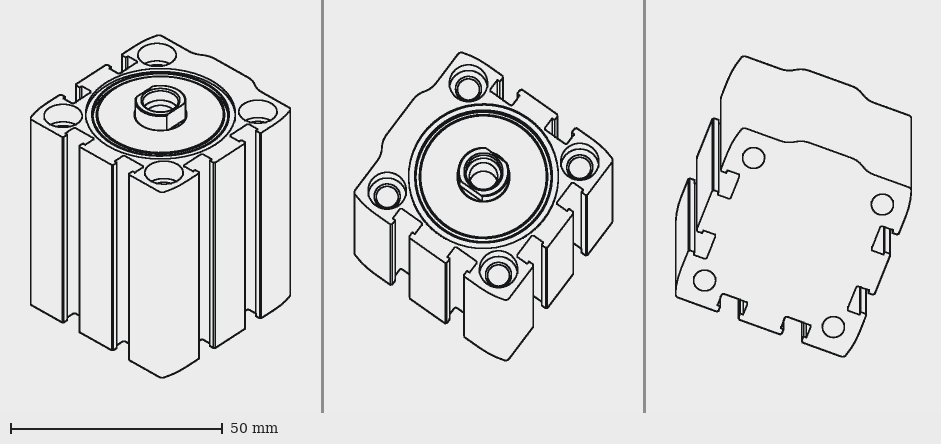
import cadquery as cq
import math

TOTAL_HEIGHT = 59.0
BODY_HEIGHT = 55.0
BODY_WIDTH = 45.0
BODY_LENGTH = 47.0
PAD_FLAT_WIDTH = 10.6
PAD_BASE_WIDTH = 23.6
SIDE_FLAT_LENGTH = 31.05
SIDE_BOW_RADIUS = 20.65
CORNER_RADIUS = 1.0

SLOT_SPACING = 16.0
SLOT_MOUTH_WIDTH = 5.0
SLOT_INNER_WIDTH = 6.5
SLOT_LIP = 1.55
SLOT_DEPTH = 4.7
SLOT_CORNER_RADIUS = 0.5
SLOT_MOUTH_RADIUS = 0.3

SCREW_SPACING = 32.55
SCREW_DIAMETER = 5.2
SCREW_CHAMFER = 0.5
COUNTERBORE_DIAMETER = 9.0
COUNTERBORE_DEPTH = 5.2

CAP_RECESS = 0.25
CAP_FACE_DIAMETER = 29.75
CAP_EDGE_DIAMETER = 30.3
CAP_EDGE_DROP = 0.1
INNER_GROOVE_DIAMETER = 32.0
INNER_FLOOR_ANGLE = 45.0
RING_DIAMETER = 32.5
OUTER_GROOVE_DIAMETER = 35.4
OUTER_FLOOR_ANGLE = 25.0

ROD_DIAMETER = 12.0
ROD_LENGTH = 29.5
ROD_TIP_CHAMFER = 0.25
ROD_BORE_CHAMFER = 0.25
FLATS_WIDTH = 10.05
FLATS_LENGTH = 4.8
RUN_OUT_ANGLE = 25.0

RELIEF_CHAMFER_DIAMETER = 9.2
RELIEF_DIAMETER = 8.4
RELIEF_DEPTH = 3.2
THREAD_DIAMETER = 6.65
THREAD_DEPTH = 11.8
DRILL_TIP_ANGLE = 118.0

HALF_WIDTH = BODY_WIDTH / 2
PAD_Y = BODY_LENGTH - HALF_WIDTH
CAP_FACE_Z = BODY_HEIGHT - CAP_RECESS
ROD_RADIUS = ROD_DIAMETER / 2
ROD_BOTTOM_Z = TOTAL_HEIGHT - ROD_LENGTH


def revolved(profile):
    """Solid of revolution about Z from a closed list of (radius, z) points."""
    return cq.Workplane("XZ").polyline(profile).close().revolve(360, (0, 0), (0, 1))


def body_block():
    """Extruded outline: bowed sides, rounded corners and a rear pad with S-shaped flanks."""
    half_flat = SIDE_FLAT_LENGTH / 2
    bow_angle = math.asin((HALF_WIDTH - half_flat) / SIDE_BOW_RADIUS)

    def bow_point(angle):
        x = HALF_WIDTH - SIDE_BOW_RADIUS * (1 - math.cos(angle))
        y = half_flat + SIDE_BOW_RADIUS * math.sin(angle)
        return x, y

    middle_x, middle_y = bow_point(bow_angle / 2)
    corner_x, corner_y = bow_point(bow_angle)
    flank_middle = ((PAD_FLAT_WIDTH + PAD_BASE_WIDTH) / 4, (HALF_WIDTH + PAD_Y) / 2)
    block = (
        cq.Workplane("XY")
        .moveTo(0, -corner_y)
        .lineTo(corner_x, -corner_y)
        .threePointArc((middle_x, -middle_y), (HALF_WIDTH, -half_flat))
        .lineTo(HALF_WIDTH, half_flat)
        .threePointArc((middle_x, middle_y), (corner_x, corner_y))
        .lineTo(PAD_BASE_WIDTH / 2, HALF_WIDTH)
        .tangentArcPoint(flank_middle, relative=False)
        .tangentArcPoint((PAD_FLAT_WIDTH / 2, PAD_Y), relative=False)
        .lineTo(0, PAD_Y)
        .mirrorY()
        .extrude(BODY_HEIGHT)
    )
    for x in (-corner_x, corner_x):
        for y in (-corner_y, corner_y):
            corner = cq.selectors.NearestToPointSelector((x, y, BODY_HEIGHT / 2))
            block = block.edges("|Z").edges(corner).fillet(CORNER_RADIUS)
    return block


def slot_cutters():
    """Full-height T-slots: a pair in the left, front and right faces."""
    lip_y = SLOT_LIP - HALF_WIDTH
    inner_length = SLOT_DEPTH - SLOT_LIP
    half_mouth = SLOT_MOUTH_WIDTH / 2
    round_start_y = SLOT_MOUTH_RADIUS - HALF_WIDTH
    mouth = (
        cq.Workplane("XY")
        .moveTo(0, -HALF_WIDTH)
        .lineTo(half_mouth + SLOT_MOUTH_RADIUS, -HALF_WIDTH)
        .radiusArc((half_mouth, round_start_y), -SLOT_MOUTH_RADIUS)
        .lineTo(half_mouth, lip_y)
        .lineTo(0, lip_y)
        .mirrorY()
        .extrude(BODY_HEIGHT)
    )
    inner = cq.Workplane("XY").box(SLOT_INNER_WIDTH, inner_length, BODY_HEIGHT, centered=(True, False, False))
    inner = inner.edges("|Z and >Y").fillet(SLOT_CORNER_RADIUS).translate((0, lip_y, 0))
    slot = mouth.union(inner)
    half_spacing = SLOT_SPACING / 2
    pair = slot.translate((-half_spacing, 0, 0)).union(slot.translate((half_spacing, 0, 0)))
    return [pair.rotate((0, 0, 0), (0, 0, 1), turn) for turn in (-90, 0, 90)]


def screw_hole_cutters():
    """Four counterbored through holes with a chamfer under each counterbore."""
    bore_radius = COUNTERBORE_DIAMETER / 2
    hole_radius = SCREW_DIAMETER / 2
    floor_z = BODY_HEIGHT - COUNTERBORE_DEPTH
    hole = revolved([
        (0, 0),
        (hole_radius, 0),
        (hole_radius, floor_z - SCREW_CHAMFER),
        (hole_radius + SCREW_CHAMFER, floor_z),
        (bore_radius, floor_z),
        (bore_radius, BODY_HEIGHT),
        (0, BODY_HEIGHT),
    ])
    half_spacing = SCREW_SPACING / 2
    signs = (-1, 1)
    return [hole.translate((i * half_spacing, j * half_spacing, 0)) for i in signs for j in signs]


def cap_cutter():
    """Shallow recess over the cap with two ring grooves whose floors fall outward."""
    face_radius = CAP_FACE_DIAMETER / 2
    edge_radius = CAP_EDGE_DIAMETER / 2
    inner_radius = INNER_GROOVE_DIAMETER / 2
    ring_radius = RING_DIAMETER / 2
    outer_radius = OUTER_GROOVE_DIAMETER / 2
    edge_z = CAP_FACE_Z - CAP_EDGE_DROP
    inner_floor_drop = (inner_radius - edge_radius) * math.tan(math.radians(INNER_FLOOR_ANGLE))
    outer_floor_drop = (outer_radius - ring_radius) * math.tan(math.radians(OUTER_FLOOR_ANGLE))
    return revolved([
        (0, BODY_HEIGHT),
        (0, CAP_FACE_Z),
        (face_radius, CAP_FACE_Z),
        (edge_radius, edge_z),
        (inner_radius, edge_z - inner_floor_drop),
        (inner_radius, CAP_FACE_Z),
        (ring_radius, CAP_FACE_Z),
        (outer_radius, CAP_FACE_Z - outer_floor_drop),
        (outer_radius, BODY_HEIGHT),
    ])


def rod_bore_cutter():
    """Blind bore that the rod fills, chamfered where it opens on the cap face."""
    mouth_radius = ROD_RADIUS + ROD_BORE_CHAMFER
    return revolved([
        (0, ROD_BOTTOM_Z),
        (ROD_RADIUS, ROD_BOTTOM_Z),
        (ROD_RADIUS, CAP_FACE_Z - ROD_BORE_CHAMFER),
        (mouth_radius, CAP_FACE_Z),
        (0, CAP_FACE_Z),
    ])


def make_housing():
    housing = body_block()
    cutters = [*slot_cutters(), *screw_hole_cutters(), cap_cutter(), rod_bore_cutter()]
    for cutter in cutters:
        housing = housing.cut(cutter)
    return housing


def flat_cutter():
    """Material outside the right wrench flat, ending in a sloped run-out."""
    flat_x = FLATS_WIDTH / 2
    flat_bottom_z = TOTAL_HEIGHT - FLATS_LENGTH
    run_out = (ROD_RADIUS - flat_x) * math.tan(math.radians(RUN_OUT_ANGLE))
    return (
        cq.Workplane("XZ")
        .polyline([
            (flat_x, TOTAL_HEIGHT),
            (flat_x, flat_bottom_z),
            (ROD_RADIUS, flat_bottom_z - run_out),
            (ROD_RADIUS, TOTAL_HEIGHT),
        ])
        .close()
        .extrude(ROD_RADIUS, both=True)
    )


def threaded_hole_cutter():
    """Stepped hole in the rod tip with conical steps and a drill point."""
    mouth_radius = RELIEF_CHAMFER_DIAMETER / 2
    relief_radius = RELIEF_DIAMETER / 2
    thread_radius = THREAD_DIAMETER / 2
    relief_z = TOTAL_HEIGHT - RELIEF_DEPTH
    thread_z = TOTAL_HEIGHT - THREAD_DEPTH
    drill_tip = thread_radius / math.tan(math.radians(DRILL_TIP_ANGLE / 2))
    return revolved([
        (0, TOTAL_HEIGHT),
        (mouth_radius, TOTAL_HEIGHT),
        (relief_radius, TOTAL_HEIGHT - (mouth_radius - relief_radius)),
        (relief_radius, relief_z),
        (thread_radius, relief_z - (relief_radius - thread_radius)),
        (thread_radius, thread_z),
        (0, thread_z - drill_tip),
    ])


def make_rod():
    rod = cq.Workplane("XY").circle(ROD_RADIUS).extrude(ROD_LENGTH).translate((0, 0, ROD_BOTTOM_Z))
    rod = rod.faces(">Z").chamfer(ROD_TIP_CHAMFER)
    flat = flat_cutter()
    return rod.cut(flat).cut(flat.mirror("YZ")).cut(threaded_hole_cutter())


housing = make_housing()
rod = make_rod()
result = cq.Compound.makeCompound([housing.val(), rod.val()])